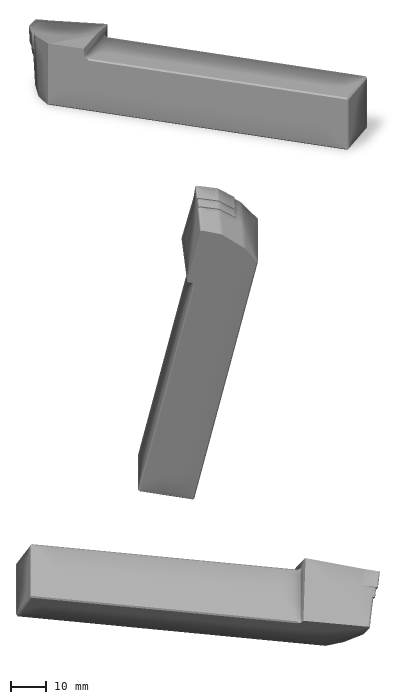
import cadquery as cq
import math

length = 100.0
shank_size = 16.0
head_height = 19.0
head_width = 19.6
head_end = 21.5
step_lean = 0.4
step_fillet = 0.8
edge_chamfer = 0.4
chamfer_start = 22.6

seat_tilt = 7.5
fold_x = 11.3

nose_x = 0.6
nose_y = 19.7
nose_radius = 0.7
flank_corner = (0.9, 13.7)
flank_foot = (4.7, 6.2)
corner_radius = 3.0
foot_radius = 4.5
bevel_x = 10.9
overrun = 5.0
prism_depth = 50.0

insert_thickness = 4.7
shim_thickness = 2.8
shim_inset = 0.4
insert_tip = (-0.25, 20.1)
insert_flank = (0.1, 13.7)
insert_end = (3.1, 8.1)
insert_side = (8.0, 11.0)
insert_back = (12.1, 16.8)
insert_shoulder = (6.6, 19.5)
insert_nose_radius = 0.5
side_bulge = (10.2, 13.6)


def seat_plane(depth=0.0):
    """Tilted plane whose local axes follow X and Y, at a depth below the head top."""
    slope = math.tan(math.radians(seat_tilt)) / math.sqrt(2)
    plane = cq.Plane(origin=(fold_x, 0, head_height), xDir=(1, 0, slope), normal=(-slope, slope, 1))
    return cq.Workplane(plane).workplane(offset=-depth).center(-fold_x, 0)


def step_profile(plane, head_size):
    """Side outline shared by both steps from the head to the shank."""
    foot_x = head_end + step_lean
    return (
        cq.Workplane(plane)
        .polyline([(0, 0), (length, 0), (length, shank_size), (foot_x, shank_size),
                   (head_end, head_size), (0, head_size)])
        .close()
    )


def round_corner(body, corner, depth, radius):
    """Round the upright prism edge that starts at a corner of the seat plane."""
    probe = seat_plane(depth).plane.toWorldCoords(corner)
    return body.edges(cq.selectors.NearestToPointSelector(probe)).fillet(radius)


def round_step(body, point):
    """Round the inner corner between a step wall and the shank."""
    return body.edges(cq.selectors.NearestToPointSelector(point)).fillet(step_fillet)


def edge_cutter(start_x, y, z):
    """Diamond bar along X that chamfers the shank edge at (y, z)."""
    return (
        cq.Workplane("YZ", origin=(start_x, y, z))
        .polyline([(edge_chamfer, 0), (0, edge_chamfer), (-edge_chamfer, 0), (0, -edge_chamfer)])
        .close()
        .extrude(length - start_x)
    )


def make_envelope():
    """Square shank with a taller and wider head."""
    side = step_profile("XZ", head_height).extrude(-head_width)
    side = round_step(side, (head_end + step_lean, head_width / 2, shank_size))
    plan = step_profile("XY", head_width).extrude(head_height)
    plan = round_step(plan, (head_end + step_lean, shank_size, head_height / 2))
    envelope = side.intersect(plan)
    for y in (0, shank_size):
        for z in (0, shank_size):
            start_x = 0 if y == z == 0 else chamfer_start
            envelope = envelope.cut(edge_cutter(start_x, y, z))
    return envelope.faces(">X").chamfer(edge_chamfer)


def make_nose_prism():
    """Tilted prism that shapes the flanks and the sloping top of the head."""
    far_x = length + 6 * overrun
    prism = (
        seat_plane()
        .polyline([(nose_x, nose_y), flank_corner, flank_foot, (bevel_x, 0),
                   (bevel_x + overrun, -overrun), (far_x, -overrun), (far_x, nose_y)])
        .close()
        .extrude(-prism_depth)
    )
    middle = prism_depth / 2
    prism = round_corner(prism, (nose_x, nose_y), middle, nose_radius)
    prism = round_corner(prism, flank_corner, middle, corner_radius)
    return round_corner(prism, flank_foot, middle, foot_radius)


def make_plate(depth, thickness, inset):
    """Insert-shaped plate below the seat plane; inset moves its cutting edges inward."""
    tip = (insert_tip[0] + inset, insert_tip[1] - inset)
    flank = (insert_flank[0] + inset, insert_flank[1])
    end = (insert_end[0] + inset, insert_end[1])
    plate = (
        seat_plane(depth)
        .moveTo(*tip)
        .lineTo(*flank)
        .lineTo(*end)
        .lineTo(*insert_side)
        .threePointArc(side_bulge, insert_back)
        .lineTo(*insert_shoulder)
        .close()
        .extrude(-thickness)
    )
    middle = depth + thickness / 2
    plate = round_corner(plate, tip, middle, insert_nose_radius)
    return round_corner(plate, end, middle, insert_nose_radius)


def make_insert():
    """Rounded triangular cutting insert lying flush in the sloping head top."""
    return make_plate(0, insert_thickness, 0)


def make_holder():
    """Shank, head and shim as one body, with a pocket that fits the insert."""
    shim = make_plate(insert_thickness, shim_thickness, shim_inset)
    shim_flank = (insert_flank[0] + shim_inset, insert_flank[1])
    shim = round_corner(shim, shim_flank, insert_thickness + shim_thickness / 2, corner_radius)
    holder = make_envelope().intersect(make_nose_prism()).union(shim)
    return holder.cut(make_insert())


holder = make_holder()
insert = make_insert()
result = cq.Compound.makeCompound([holder.val(), insert.val()])